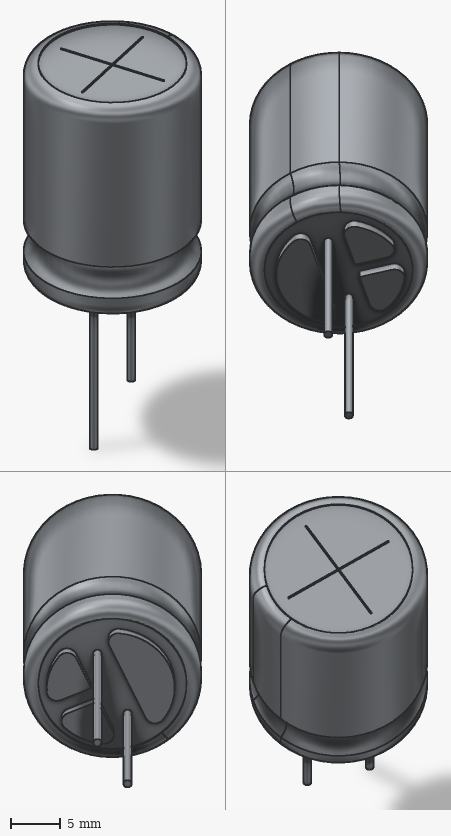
import cadquery as cq
import math


overall_length = 44

case_diameter = 18.0
case_radius = case_diameter / 2
case_height = 25.0
corner_radius = 1.5
flat_radius = case_radius - corner_radius

groove_bottom = 2.5
groove_top = 6.25
groove_depth = 0.8
groove_mid = (groove_bottom + groove_top) / 2
groove_half_chord = (groove_top - groove_bottom) / 2
groove_arc_radius = (groove_half_chord**2 + groove_depth**2) / (2 * groove_depth)
groove_center_radius = case_radius - groove_depth + groove_arc_radius

sleeve_thickness = 0.18
can_bottom = sleeve_thickness
can_top = case_height - sleeve_thickness
stripe_half_width_at_axis = 1.05
stripe_side_angle = math.radians(10)

score_length = 12.1
score_width = 0.11
score_depth = 0.1

lead_radius = 0.42
lead_pitch = 7.52
lead_length_difference = 4.05
long_lead_tip = case_height - overall_length
short_lead_tip = long_lead_tip + lead_length_difference

pad_radius = 6.3
foot_bottom = -0.8
foot_corner_radius = 1.0
single_foot_wall = 1.65
paired_foot_wall = 2.0
paired_feet_shift = -0.4
paired_feet_half_gap = 0.85


def case_body(inset):
    """Solid of revolution whose whole surface lies `inset` inside the case envelope."""
    wall = case_radius - inset
    low = inset
    high = case_height - inset
    groove_radius = groove_arc_radius + inset
    half_chord = math.sqrt(groove_radius**2 - (groove_center_radius - wall) ** 2)
    corner_reach = (corner_radius - inset) * math.sqrt(0.5)
    return (
        cq.Workplane("XZ")
        .moveTo(0, low)
        .lineTo(flat_radius, low)
        .threePointArc(
            (flat_radius + corner_reach, corner_radius - corner_reach),
            (wall, corner_radius),
        )
        .lineTo(wall, groove_mid - half_chord)
        .threePointArc(
            (groove_center_radius - groove_radius, groove_mid),
            (wall, groove_mid + half_chord),
        )
        .lineTo(wall, case_height - corner_radius)
        .threePointArc(
            (flat_radius + corner_reach, case_height - corner_radius + corner_reach),
            (flat_radius, high),
        )
        .lineTo(0, high)
        .close()
        .revolve(360, (0, 0, 0), (0, 1, 0))
    )


def make_jacket():
    """Full ring of sleeve material, open over the flat ends of the can."""
    end_openings = cq.Workplane("XY").circle(flat_radius).extrude(case_height)
    return case_body(0).cut(end_openings).cut(case_body(sleeve_thickness))


def stripe_sector():
    """Tapered block on the +Y side that bounds the polarity stripe."""
    reach = case_diameter
    near = stripe_half_width_at_axis
    far = near + reach * math.tan(stripe_side_angle)
    return (
        cq.Workplane("XY")
        .polyline([(-near, 0), (near, 0), (far, reach), (-far, reach)])
        .close()
        .extrude(case_height)
    )


def make_can():
    score = (
        cq.Workplane("XY", origin=(0, 0, can_top - score_depth))
        .rect(score_length, score_width)
        .extrude(score_depth)
    )
    cross_score = score.union(score.rotate((0, 0, 0), (0, 0, 1), 90))
    return case_body(sleeve_thickness).cut(cross_score)


def make_lead(y, tip):
    return cq.Workplane("XY", origin=(0, y, tip)).circle(lead_radius).extrude(can_bottom - tip)


def foot_pad(center_x):
    return (
        cq.Workplane("XY", origin=(center_x, 0, foot_bottom))
        .circle(pad_radius)
        .extrude(can_bottom - foot_bottom)
    )


def foot_block(x_min, x_max, y_min, y_max):
    """Rectangular block as tall as the feet, used to trim a pad."""
    return cq.Workplane("XY", origin=(x_min, y_min, foot_bottom)).box(
        x_max - x_min, y_max - y_min, can_bottom - foot_bottom, centered=False
    )


def make_single_foot():
    """Segment on the +X side with both ends rounded."""
    block = foot_block(single_foot_wall, pad_radius, -pad_radius, pad_radius)
    return foot_pad(0).intersect(block).edges("|Z and (>Y or <Y)").fillet(foot_corner_radius)


def make_paired_foot(side):
    """One of two mirrored feet on the -X side; `side` is +1 or -1 along Y."""
    block = foot_block(
        paired_feet_shift - pad_radius, -paired_foot_wall, paired_feet_half_gap, pad_radius
    )
    foot = (
        foot_pad(paired_feet_shift)
        .intersect(block)
        .edges("|Z and (>Y or <X)")
        .fillet(foot_corner_radius)
    )
    return foot if side > 0 else foot.mirror("XZ")


jacket = make_jacket()
sleeve = jacket.cut(stripe_sector())
stripe = jacket.intersect(stripe_sector())
can = make_can()
leads = [
    make_lead(-lead_pitch / 2, long_lead_tip),
    make_lead(lead_pitch / 2, short_lead_tip),
]
feet = [make_single_foot()] + [make_paired_foot(side) for side in (1, -1)]

result = cq.Compound.makeCompound(
    [
        sleeve.val(),
        stripe.val(),
        can.val(),
        *[lead.val() for lead in leads],
        *[foot.val() for foot in feet],
    ]
)